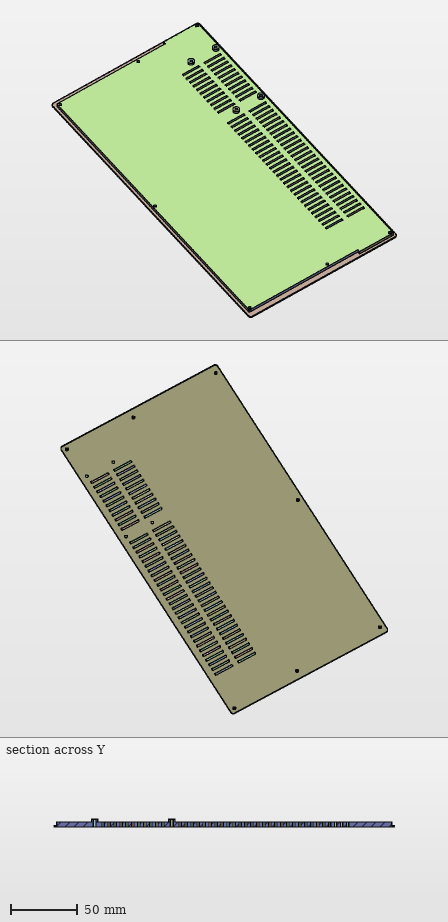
import cadquery as cq

flange_length = 256.0
flange_width = 136.48
flange_thickness = 1.2
flange_corner_radius = 2.0

panel_top = 4.0
panel_height = panel_top - flange_thickness
panel_length_front = 247.5
panel_length_rear = 252.0
panel_edge_margin = 2.24
panel_step_y = 34.6
panel_half_width = flange_width / 2 - panel_edge_margin

screw_pilot_diameter = 2.0
screw_clearance_diameter = 2.2
screw_clearance_depth = 2.0
screw_inset = 1.8
rear_screw_x = panel_length_rear / 2 - screw_inset
front_screw_x = panel_length_front / 2 - screw_inset
screw_y = panel_half_width - screw_inset
middle_screw_inset = 2.2
middle_screw_x = panel_length_front / 2 - middle_screw_inset
middle_screw_y = 7.9

standoff_diameter = 5.0
standoff_hole_diameter = 2.0
total_height = 6.0
standoff_height = total_height - panel_top
standoff_spacing_x = 58.0
standoff_spacing_y = 23.0
first_standoff_x = -97.5
rear_standoff_y = 62.5

slot_width = 1.5
slot_length = 15.0
slot_pitch = 4.5
slot_row_pitch = 20.0
rear_slot_row_y = 55.05
short_group_start_x = -91.15
short_group_count = 11
long_group_start_x = short_group_start_x + standoff_spacing_x
long_group_count = 29


def make_flange():
    sheet = cq.Workplane("XY").rect(flange_length, flange_width).extrude(flange_thickness)
    return sheet.edges("|Z").fillet(flange_corner_radius)


def make_panel():
    rear_half = panel_length_rear / 2
    front_half = panel_length_front / 2
    outline = [
        (-front_half, -panel_half_width),
        (front_half, -panel_half_width),
        (front_half, panel_step_y),
        (rear_half, panel_step_y),
        (rear_half, panel_half_width),
        (-rear_half, panel_half_width),
        (-rear_half, panel_step_y),
        (-front_half, panel_step_y),
    ]
    base = cq.Workplane("XY").workplane(offset=flange_thickness)
    return base.polyline(outline).close().extrude(panel_height)


def screw_points():
    points = [(0, -screw_y)]
    for side in (-1, 1):
        points.append((side * rear_screw_x, screw_y))
        points.append((side * middle_screw_x, middle_screw_y))
        points.append((side * front_screw_x, -screw_y))
    return points


def standoff_points():
    columns = (first_standoff_x, first_standoff_x + standoff_spacing_x)
    rows = (rear_standoff_y, rear_standoff_y - standoff_spacing_y)
    return [(x, y) for x in columns for y in rows]


def slot_points():
    groups = ((short_group_start_x, short_group_count), (long_group_start_x, long_group_count))
    rows = (rear_slot_row_y, rear_slot_row_y - slot_row_pitch)
    points = []
    for y in rows:
        for start, count in groups:
            points.extend((start + i * slot_pitch, y) for i in range(count))
    return points


def make_standoffs():
    base = cq.Workplane("XY").workplane(offset=panel_top)
    return base.pushPoints(standoff_points()).circle(standoff_diameter / 2).extrude(standoff_height)


def make_hole_cutters(points, diameter, depth):
    return cq.Workplane("XY").pushPoints(points).circle(diameter / 2).extrude(depth)


def make_slot_cutters():
    return cq.Workplane("XY").pushPoints(slot_points()).rect(slot_width, slot_length).extrude(panel_top)


result = make_flange().union(make_panel()).union(make_standoffs())
result = result.cut(make_hole_cutters(screw_points(), screw_pilot_diameter, panel_top))
result = result.cut(make_hole_cutters(screw_points(), screw_clearance_diameter, screw_clearance_depth))
result = result.cut(make_hole_cutters(standoff_points(), standoff_hole_diameter, total_height))
result = result.cut(make_slot_cutters())